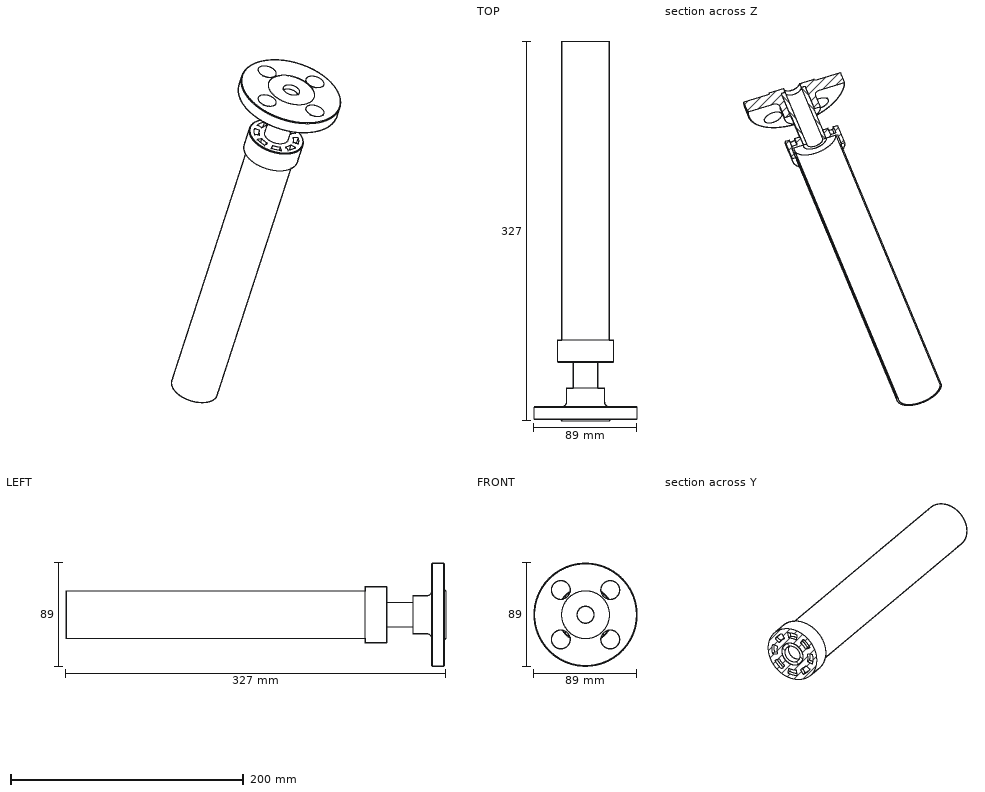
import cadquery as cq
import math


flange_diameter = 89.0
raised_face_height = 1.3
flange_back = 12.5
flange_edge_chamfer = 0.5
raised_face_diameter = 41.2
raised_face_fillet = raised_face_height
hub_diameter = 33.0
hub_end = 28.5
hub_fillet = 4.0
bore_diameter = 14.5
bolt_hole_diameter = 16.0
bolt_hole_count = 4
bolt_circle_diameter = 60.2
bolt_hole_start_angle = 45

nipple_diameter = 21.3
nipple_start = 4.5

cap_diameter = 48.5
cap_start = 50.7
cap_end = 69.5
cap_floor = 9.0
cap_edge_chamfer = 0.5
pocket_count = 8
pocket_inner_radius = 15.5
pocket_outer_radius = 20.0
pocket_half_angle = 13
pocket_depth = 6.5

tube_outer_diameter = 41.2
tube_inner_diameter = 38.3
tube_start = cap_start + cap_floor
tube_end = 327


def rod(diameter, start, end):
    """Solid cylinder along Y between two stations."""
    return cq.Workplane("XZ", origin=(0, start, 0)).circle(diameter / 2).extrude(start - end)


def polar_point(radius, angle):
    """X, Z point at an angle in degrees."""
    turn = math.radians(angle)
    return radius * math.cos(turn), radius * math.sin(turn)


def make_flange():
    """Revolved flange with raised face and hub, drilled and socketed."""
    rim_radius = flange_diameter / 2
    face_radius = raised_face_diameter / 2
    hub_radius = hub_diameter / 2
    arc_offset = 1 - math.sqrt(0.5)
    profile = (
        cq.Workplane("XY")
        .lineTo(face_radius, 0)
        .threePointArc(
            (
                face_radius + raised_face_fillet * arc_offset,
                raised_face_height - raised_face_fillet * arc_offset,
            ),
            (face_radius + raised_face_fillet, raised_face_height),
        )
        .lineTo(rim_radius - flange_edge_chamfer, raised_face_height)
        .lineTo(rim_radius, raised_face_height + flange_edge_chamfer)
        .lineTo(rim_radius, flange_back - flange_edge_chamfer)
        .lineTo(rim_radius - flange_edge_chamfer, flange_back)
        .lineTo(hub_radius + hub_fillet, flange_back)
        .threePointArc(
            (hub_radius + hub_fillet * arc_offset, flange_back + hub_fillet * arc_offset),
            (hub_radius, flange_back + hub_fillet),
        )
        .lineTo(hub_radius, hub_end)
        .lineTo(0, hub_end)
        .close()
    )
    flange = profile.revolve(360, (0, 0, 0), (0, 1, 0))
    bolt_holes = (
        cq.Workplane("XZ")
        .polarArray(bolt_circle_diameter / 2, bolt_hole_start_angle, 360, bolt_hole_count)
        .circle(bolt_hole_diameter / 2)
        .extrude(-flange_back)
    )
    bore = rod(bore_diameter, 0, nipple_start)
    nipple_socket = rod(nipple_diameter, nipple_start, hub_end)
    return flange.cut(bolt_holes).cut(bore).cut(nipple_socket)


def make_nipple():
    """Short pipe joining the flange to the cap."""
    return rod(nipple_diameter, nipple_start, tube_start).cut(
        rod(bore_diameter, nipple_start, tube_start)
    )


def make_cap_pocket(angle):
    """Ring-sector pocket centred on an angle."""
    first = angle - pocket_half_angle
    last = angle + pocket_half_angle
    return (
        cq.Workplane("XZ", origin=(0, cap_start, 0))
        .moveTo(*polar_point(pocket_inner_radius, first))
        .lineTo(*polar_point(pocket_outer_radius, first))
        .threePointArc(polar_point(pocket_outer_radius, angle), polar_point(pocket_outer_radius, last))
        .lineTo(*polar_point(pocket_inner_radius, last))
        .threePointArc(polar_point(pocket_inner_radius, angle), polar_point(pocket_inner_radius, first))
        .close()
        .extrude(-pocket_depth)
    )


def make_cap():
    """Cap holding the nipple on one side and the tube on the other."""
    cap = rod(cap_diameter, cap_start, cap_end).faces("<Y").chamfer(cap_edge_chamfer)
    cap = cap.cut(rod(nipple_diameter, cap_start, cap_end))
    cap = cap.cut(rod(tube_outer_diameter, tube_start, cap_end))
    for index in range(pocket_count):
        cap = cap.cut(make_cap_pocket(index * 360 / pocket_count))
    return cap


def make_tube():
    """Plain open-ended tube."""
    return rod(tube_outer_diameter, tube_start, tube_end).cut(
        rod(tube_inner_diameter, tube_start, tube_end)
    )


flange = make_flange()
nipple = make_nipple()
cap = make_cap()
tube = make_tube()
result = cq.Compound.makeCompound([flange.val(), nipple.val(), cap.val(), tube.val()])